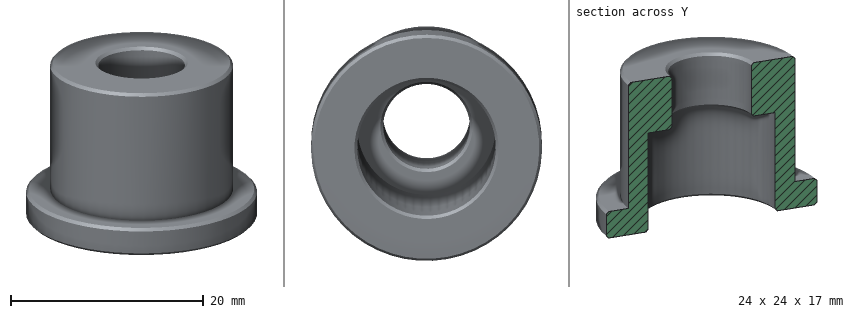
import cadquery as cq

flange_diameter = 24.0
flange_thickness = 3.0
body_diameter = 19.0
total_height = 17.0
bore_diameter = 9.0
bore_length = 6.0
relief_diameter = 14.4
edge_chamfer = 0.3

flange_radius = flange_diameter / 2
body_radius = body_diameter / 2
bore_radius = bore_diameter / 2
relief_radius = relief_diameter / 2
relief_depth = total_height - bore_length

half_section = (
    cq.Workplane("XZ")
    .moveTo(relief_radius + edge_chamfer, 0)
    .lineTo(flange_radius - edge_chamfer, 0)
    .lineTo(flange_radius, edge_chamfer)
    .lineTo(flange_radius, flange_thickness - edge_chamfer)
    .lineTo(flange_radius - edge_chamfer, flange_thickness)
    .lineTo(body_radius, flange_thickness)
    .lineTo(body_radius, total_height - edge_chamfer)
    .lineTo(body_radius - edge_chamfer, total_height)
    .lineTo(bore_radius + edge_chamfer, total_height)
    .lineTo(bore_radius, total_height - edge_chamfer)
    .lineTo(bore_radius, relief_depth + edge_chamfer)
    .lineTo(bore_radius + edge_chamfer, relief_depth)
    .lineTo(relief_radius, relief_depth)
    .lineTo(relief_radius, edge_chamfer)
    .close()
)

result = half_section.revolve(360, (0, 0, 0), (0, 1, 0))